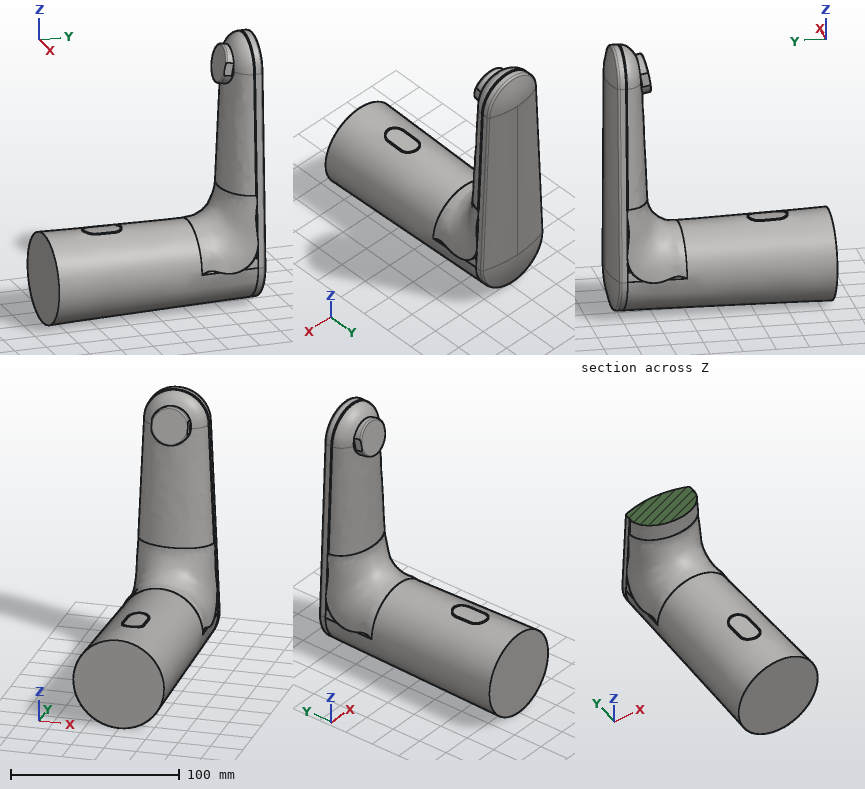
import math

import cadquery as cq

base_radius = 28.0
tube_taper = math.radians(1.17)

rim_front_y = 126.2
rim_edge_y = 130.8
overall_depth = 135.0
edge_rounding = 1.5


def tube_radius(y):
    return base_radius - y * math.tan(tube_taper)


arm_height = 120.0
arm_top_radius = 19.92
arm_bottom_radius = tube_radius(rim_edge_y)

groove_width = 0.7
groove_depth = 0.4
seam_y = rim_front_y - groove_width

arm_top_depth = 12.2
arm_depth_growth = math.tan(math.radians(2.5))

bend_centre_y = 90.5
bend_centre_z = 45.0
bend_turn = 90
bend_section_step = 15
bend_overlap = 0.08
core_step = 0.15
bend_root_depth = 4.0

outlet_radius = 11.8
outlet_face_y = 110.1
outlet_face_z = 122.2
outlet_tilt = 11.0
outlet_length = 12.0
outlet_rounding = 0.9
outlet_flat_offset = 11.1
outlet_flat_depth = 5.2

window_width = 13.5
window_length = 24.4
window_centre_y = 36.8
window_groove_width = 0.6
window_groove_depth = 0.5


def arm_half_width(z):
    return arm_bottom_radius + (arm_top_radius - arm_bottom_radius) * z / arm_height


def arm_depth(z):
    return arm_top_depth + (arm_height - z) * arm_depth_growth


def tapered_bar(end_y, inset=0.0):
    """Round bar from y = 0 to end_y, its surface lowered by the inset."""
    profile = [(0, 0), (0, inset - base_radius), (end_y, inset - tube_radius(end_y)), (end_y, 0)]
    return cq.Workplane("YZ").polyline(profile).close().revolve(360, (0, 0, 0), (1, 0, 0))


def tube():
    """Full round bar; behind the bend its upper half steps in slightly, under the front of the arm."""
    upper_rear = cq.Workplane("XY", origin=(0, bend_centre_y, 0)).box(
        2 * base_radius, overall_depth, base_radius, centered=(True, False, False)
    )
    return tapered_bar(rim_front_y).cut(upper_rear.cut(tapered_bar(rim_front_y, core_step)))


def arm_slab(front_y, back_y, inset=0.0):
    """Plate with the arm outline: a round top, a round bottom and straight sides."""
    top = arm_top_radius - inset
    bottom = arm_bottom_radius - inset
    return (
        cq.Workplane("XZ", origin=(0, front_y, 0))
        .moveTo(-bottom, 0)
        .threePointArc((0, -bottom), (bottom, 0))
        .lineTo(top, arm_height)
        .threePointArc((0, arm_height + top), (-top, arm_height))
        .close()
        .extrude(front_y - back_y)
    )


def crown_half_section(radius, z):
    """Half of the crowned back profile at height z, from the centre line to the rounded edge."""
    rise = overall_depth - rim_edge_y
    crown_radius = (radius**2 + rise**2) / (2 * rise)
    crown_centre_y = overall_depth - crown_radius

    def crown_point(angle):
        return (crown_radius * math.sin(angle), crown_centre_y + crown_radius * math.cos(angle))

    rounding_x = radius - edge_rounding
    tangent_angle = math.asin(rounding_x / (crown_radius - edge_rounding))
    rounding_y = crown_centre_y + (crown_radius - edge_rounding) * math.cos(tangent_angle)
    middle_angle = (tangent_angle + math.pi / 2) / 2
    rounding_middle = (
        rounding_x + edge_rounding * math.sin(middle_angle),
        rounding_y + edge_rounding * math.cos(middle_angle),
    )
    return (
        cq.Workplane("XY", origin=(0, 0, z))
        .moveTo(0, rim_front_y)
        .lineTo(radius, rim_front_y)
        .lineTo(radius, rounding_y)
        .threePointArc(rounding_middle, crown_point(tangent_angle))
        .threePointArc(crown_point(tangent_angle / 2), (0, overall_depth))
        .close()
    )


def crowned_back():
    """Back rim of the arm with a crowned rear face and a rounded edge."""
    half_sections = [
        crown_half_section(arm_bottom_radius, 0),
        crown_half_section(arm_top_radius, arm_height),
    ]
    wires = [section.wires().val() for section in half_sections]
    side = cq.Workplane(cq.Solid.makeLoft(wires, True))
    middle = side.union(side.mirror("YZ"))
    bottom_dome = half_sections[0].revolve(180, (0, 0, 0), (0, 1, 0))
    top_dome = half_sections[1].revolve(180, (0, 0, 0), (0, -1, 0))
    return middle.union(bottom_dome).union(top_dome)


def half_ellipse(seam_point, direction, half_width, depth, root_depth=0.0):
    """Closed half ellipse: its chord runs along X through seam_point, its depth along direction.

    A root depth adds a tapering tongue on the other side of the chord.
    """
    x_axis = cq.Vector(1, 0, 0)
    plane = cq.Plane(origin=seam_point, xDir=x_axis, normal=x_axis.cross(direction))
    outline = (
        cq.Workplane(plane)
        .moveTo(half_width, 0)
        .ellipseArc(half_width, depth, 0, 180, startAtCurrent=True)
    )
    if root_depth > 0:
        outline = outline.lineTo(root_depth - half_width, -root_depth)
        outline = outline.lineTo(half_width - root_depth, -root_depth)
    return outline.close().wires().val()


def arm_section(z):
    forward = cq.Vector(0, -1, 0)
    return half_ellipse(cq.Vector(0, seam_y, z), forward, arm_half_width(z), arm_depth(z))


def bend_section(angle_deg):
    """Half ellipse in a plane through the bend centre, turned down from horizontal.

    The far end of the plane meets the back of the arm first and the mid-plane of the tube later.
    """
    angle = math.radians(angle_deg)
    away = cq.Vector(0, math.cos(angle), -math.sin(angle))
    centre = cq.Vector(0, bend_centre_y, bend_centre_z)
    start_radius = seam_y - arm_depth(bend_centre_z) - bend_centre_y
    end_radius = bend_centre_z - tube_radius(bend_centre_y)
    bend_radius = start_radius + (end_radius - start_radius) * angle_deg / bend_turn
    corner_angle = math.degrees(math.atan2(bend_centre_z, seam_y - bend_centre_y))
    if angle_deg <= corner_angle:
        reach = (seam_y - bend_centre_y) / math.cos(angle)
        seam_point = centre + away * reach
        half_width = arm_half_width(seam_point.z)
    else:
        reach = bend_centre_z / math.sin(angle)
        seam_point = centre + away * reach
        half_width = tube_radius(seam_point.y)
    depth = reach - bend_radius
    return half_ellipse(
        seam_point, away * -1, half_width + bend_overlap, depth + bend_overlap, bend_root_depth
    )


def arm_front():
    """Straight upright front of the arm and the bend that runs into the tube."""
    upright = cq.Solid.makeLoft([arm_section(bend_centre_z), arm_section(arm_height)], True)
    bend_angles = range(0, bend_turn + bend_section_step, bend_section_step)
    bend = cq.Solid.makeLoft([bend_section(angle) for angle in bend_angles])
    return cq.Workplane(upright).union(cq.Workplane(bend))


def arm_top():
    """Quarter ellipse turned about the axis of the upper end circle."""
    return (
        cq.Workplane("XY", origin=(0, seam_y, arm_height))
        .lineTo(arm_top_radius, 0)
        .ellipseArc(arm_top_radius, arm_top_depth, -90, 0, startAtCurrent=True, sense=-1)
        .close()
        .revolve(180, (0, 0, 0), (0, -1, 0))
    )


def outlet():
    """Tipped round boss with a rounded face edge and a flat on each side."""
    plane = cq.Plane(origin=(0, outlet_face_y, outlet_face_z), xDir=(1, 0, 0), normal=(0, -1, 0))
    plane = plane.rotated((-outlet_tilt, 0, 0))
    body = cq.Workplane(plane).circle(outlet_radius).extrude(-outlet_length)
    face_edge = cq.selectors.NearestToPointSelector(plane.origin.toTuple())
    body = body.edges(face_edge).fillet(outlet_rounding)
    flat_width = outlet_radius - outlet_flat_offset
    for side in (-1, 1):
        cutter = (
            cq.Workplane(plane)
            .center(side * (outlet_flat_offset + flat_width / 2), 0)
            .rect(flat_width, 2 * outlet_radius)
            .extrude(-outlet_flat_depth)
        )
        body = body.cut(cutter)
    return body


def window_groove():
    """Ring that follows the window outline and the top of the tube."""

    def window_block(inset):
        return (
            cq.Workplane("XY", origin=(0, window_centre_y, 0))
            .slot2D(window_length - 2 * inset, window_width - 2 * inset, 90)
            .extrude(base_radius)
        )

    core = tapered_bar(bend_centre_y, window_groove_depth)
    return window_block(0).cut(window_block(window_groove_width)).cut(core)


neck = arm_slab(seam_y, rim_front_y, groove_depth)
result = tube().cut(window_groove())
for piece in (crowned_back(), neck, arm_front(), arm_top(), outlet()):
    result = result.union(piece)